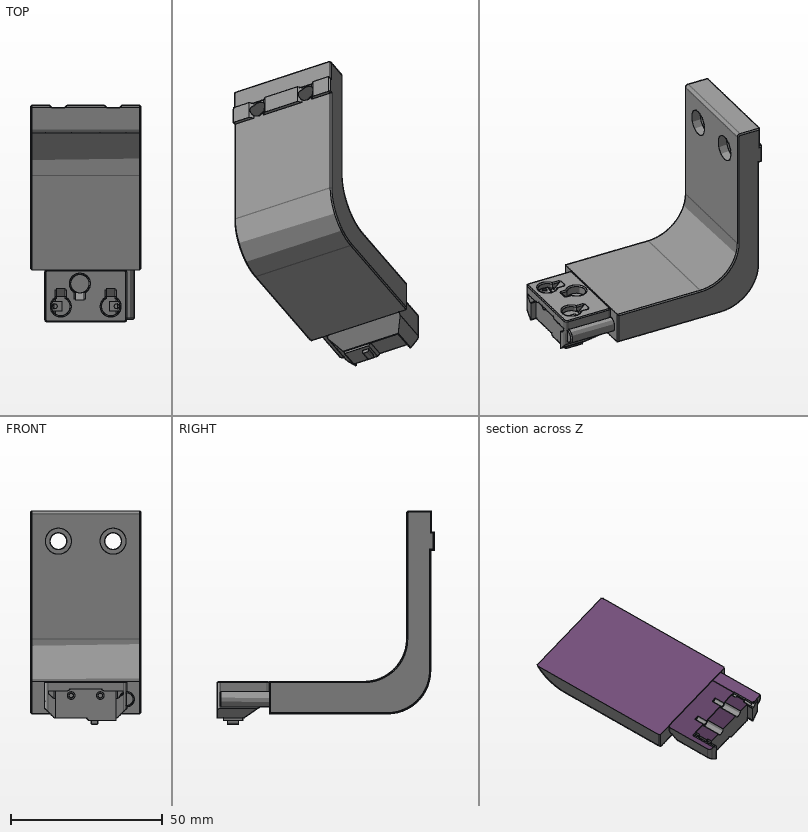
import cadquery as cq
import math


ARM_WIDTH = 36.25
ARM_HEIGHT = 66.9
ARM_FRONT_Y = -54.3
FOOT_THICKNESS = 10.7
PLATE_THICKNESS = 8.0
PLATE_BACK_Y = -1.15
UPPER_BACK_Y = -0.85
INNER_BEND_RADIUS = 14.0
OUTER_BEND_RADIUS = 14.3
ARM_EDGE_CHAMFER = 0.4
TOP_EDGE_FILLET = 1.0

TONGUE_HEIGHT = 6.15
TONGUE_GAP_WIDTH = 5.85
BOLT_SPACING = 18.0
BOLT_Z = 56.9
BOLT_HOLE_DIAMETER = 5.4
BOLT_HEAD_DIAMETER = 8.6
BOLT_HEAD_DEPTH = 3.15

HOUSING_WIDTH = 27.0
HOUSING_FRONT_Y = -71.5
HOUSING_TOP_Z = FOOT_THICKNESS
HOUSING_BOTTOM_Z = -1.35
REAR_SLOPE_TOP_Z = 4.4
REAR_SLOPE_LENGTH = 8.35
LOWER_SIDE_CHAMFER = 3.2
FRONT_CORNER_FILLET = 1.0
REAR_CORNER_FILLET = 0.7
HOUSING_EDGE_CHAMFER = 0.35

MAGNET_DIAMETER = 6.1
MAGNET_DEPTH = 3.0
SIDE_MAGNET_X = 8.2
SIDE_MAGNET_Y = -66.3
MIDDLE_MAGNET_X = -1.9
MIDDLE_MAGNET_Y = -58.8
SIDE_SLOT_REACH = 5.85
MIDDLE_SLOT_REACH = 5.4
MAGNET_POCKETS = [
    (-SIDE_MAGNET_X, SIDE_MAGNET_Y, SIDE_SLOT_REACH),
    (SIDE_MAGNET_X, SIDE_MAGNET_Y, SIDE_SLOT_REACH),
    (MIDDLE_MAGNET_X, MIDDLE_MAGNET_Y, -MIDDLE_SLOT_REACH),
]
PRY_SLOT_WIDTH = 2.85
POCKET_RIM_CHAMFER = 0.4

SWITCH_WIDTH = 20.0
SWITCH_THICKNESS = 6.4
SWITCH_RECESS = 2.0
SWITCH_FRONT_Y = HOUSING_FRONT_Y + SWITCH_RECESS
SWITCH_BACK_Y = SWITCH_FRONT_Y + SWITCH_THICKNESS
SWITCH_MID_Y = (SWITCH_FRONT_Y + SWITCH_BACK_Y) / 2
SWITCH_TOP_Z = 8.2
LIP_BOTTOM_Z = 7.5
LIP_NOTCH_TOP_WIDTH = 10.0
LIP_NOTCH_BOTTOM_WIDTH = 12.15
NOSE_DROP = 0.85
NOSE_START_X = 0.15
SWITCH_HOLE_SPACING = 9.6
SWITCH_HOLE_Z = 6.1
SWITCH_HOLE_DIAMETER = 2.5
SCREW_HOLE_DIAMETER = 1.5
SCREW_HOLE_DEPTH = 3.6

TERMINAL_THICKNESS = 0.5
TERMINAL_WIDTH = 3.2
TERMINAL_INNER_X = 7.85
TERMINAL_OUTER_X = 12.15
TERMINAL_LEG_BOTTOM_Z = 5.1
TERMINAL_HOLE_X = 10.15
TERMINAL_HOLE_DIAMETER = 1.6
TERMINAL_BAY_X = 12.3
TERMINAL_BAY_WALL_Z = 6.7

PLUNGER_X = 2.85
PLUNGER_WIDTH = 2.2
PLUNGER_LENGTH = 3.7
PLUNGER_BOTTOM_Z = -3.4
PLUNGER_EDGE_FILLET = 0.4

PIN_DIAMETER = 5.0
PIN_FRONT_Y = -70.6
PIN_X = HOUSING_WIDTH / 2
PIN_Z = 4.85
PIN_CHAMFER = 0.4


def box(x_range, y_range, z_range):
    """Box between two limits on each axis."""
    size = [high - low for low, high in (x_range, y_range, z_range)]
    corner = (x_range[0], y_range[0], z_range[0])
    return cq.Workplane("XY").box(*size, centered=False).translate(corner)


def cylinder_along_y(x, z, diameter, front_y, back_y):
    circle = cq.Workplane("XZ", origin=(x, front_y, z)).circle(diameter / 2)
    return circle.extrude(front_y - back_y)


def extrude_along_y(points, front_y, back_y):
    """Prism of an XZ outline between two Y limits."""
    outline = cq.Workplane("XZ", origin=(0, front_y, 0)).polyline(points).close()
    return outline.extrude(front_y - back_y)


def make_arm():
    plate_front_y = PLATE_BACK_Y - PLATE_THICKNESS
    tongue_bottom = BOLT_Z - TONGUE_HEIGHT / 2
    tongue_top = BOLT_Z + TONGUE_HEIGHT / 2
    inner_y = plate_front_y - INNER_BEND_RADIUS
    inner_z = FOOT_THICKNESS + INNER_BEND_RADIUS
    diagonal = math.sqrt(0.5)
    inner_mid = (inner_y + INNER_BEND_RADIUS * diagonal, inner_z - INNER_BEND_RADIUS * diagonal)
    outer_y = PLATE_BACK_Y - OUTER_BEND_RADIUS
    outer_mid = (outer_y + OUTER_BEND_RADIUS * diagonal, OUTER_BEND_RADIUS * (1 - diagonal))

    arm = (
        cq.Workplane("YZ", origin=(-ARM_WIDTH / 2, 0, 0))
        .moveTo(ARM_FRONT_Y, 0)
        .lineTo(outer_y, 0)
        .threePointArc(outer_mid, (PLATE_BACK_Y, OUTER_BEND_RADIUS))
        .lineTo(PLATE_BACK_Y, tongue_bottom)
        .lineTo(0, tongue_bottom)
        .lineTo(0, tongue_top)
        .lineTo(UPPER_BACK_Y, tongue_top)
        .lineTo(UPPER_BACK_Y, ARM_HEIGHT)
        .lineTo(plate_front_y, ARM_HEIGHT)
        .lineTo(plate_front_y, inner_z)
        .threePointArc(inner_mid, (inner_y, FOOT_THICKNESS))
        .lineTo(ARM_FRONT_Y, FOOT_THICKNESS)
        .close()
        .extrude(ARM_WIDTH)
    )
    top_front = cq.selectors.NearestToPointSelector((0, plate_front_y, ARM_HEIGHT))
    arm = arm.edges(top_front).fillet(TOP_EDGE_FILLET)
    arm = arm.faces("<X or >X").edges().chamfer(ARM_EDGE_CHAMFER)

    for x in (-BOLT_SPACING / 2, BOLT_SPACING / 2):
        arm = arm.cut(tongue_gap(x, tongue_bottom, tongue_top))
        arm = arm.cut(cylinder_along_y(x, BOLT_Z, BOLT_HOLE_DIAMETER, plate_front_y, 0))
        head_seat_y = plate_front_y + BOLT_HEAD_DEPTH
        arm = arm.cut(cylinder_along_y(x, BOLT_Z, BOLT_HEAD_DIAMETER, plate_front_y, head_seat_y))
    return arm


def tongue_gap(x, bottom_z, top_z):
    """Gap with 45 degree ends that interrupts the tongue at a bolt."""
    half_back = TONGUE_GAP_WIDTH / 2
    half_root = half_back + PLATE_BACK_Y
    return (
        cq.Workplane("XY", origin=(x, 0, bottom_z))
        .polyline([(-half_back, 0), (half_back, 0), (half_root, PLATE_BACK_Y), (-half_root, PLATE_BACK_Y)])
        .close()
        .extrude(top_z - bottom_z)
    )


def housing_block():
    """Outer shape of the probe housing."""
    half_width = HOUSING_WIDTH / 2
    block = (
        cq.Workplane("YZ", origin=(-half_width, 0, 0))
        .moveTo(HOUSING_FRONT_Y, HOUSING_BOTTOM_Z)
        .lineTo(ARM_FRONT_Y - REAR_SLOPE_LENGTH, HOUSING_BOTTOM_Z)
        .lineTo(ARM_FRONT_Y, REAR_SLOPE_TOP_Z)
        .lineTo(ARM_FRONT_Y, HOUSING_TOP_Z)
        .lineTo(HOUSING_FRONT_Y, HOUSING_TOP_Z)
        .close()
        .extrude(HOUSING_WIDTH)
    )
    block = block.faces("<Y").edges("|Z").fillet(FRONT_CORNER_FILLET)
    block = block.faces(">Y").edges("|Z").fillet(REAR_CORNER_FILLET)
    chamfer_top_z = HOUSING_BOTTOM_Z + LOWER_SIDE_CHAMFER
    for side in (-1, 1):
        corner = [
            (side * half_width, HOUSING_BOTTOM_Z),
            (side * half_width, chamfer_top_z),
            (side * (half_width - LOWER_SIDE_CHAMFER), HOUSING_BOTTOM_Z),
        ]
        block = block.cut(extrude_along_y(corner, HOUSING_FRONT_Y, ARM_FRONT_Y))
    return block.faces(">Z").edges().chamfer(HOUSING_EDGE_CHAMFER)


def magnet_pocket(x, y, slot_reach):
    """Round magnet pocket with a pry slot whose floor ramps up to the top face."""
    floor_z = HOUSING_TOP_Z - MAGNET_DEPTH
    bore = cq.Workplane("XY", origin=(x, y, floor_z)).circle(MAGNET_DIAMETER / 2).extrude(MAGNET_DEPTH)
    slot_end = y + slot_reach
    ramp_foot = slot_end - math.copysign(MAGNET_DEPTH, slot_reach)
    slot = (
        cq.Workplane("YZ", origin=(x - PRY_SLOT_WIDTH / 2, 0, 0))
        .polyline([(y, floor_z), (ramp_foot, floor_z), (slot_end, HOUSING_TOP_Z), (y, HOUSING_TOP_Z)])
        .close()
        .extrude(PRY_SLOT_WIDTH)
    )
    return bore.union(slot).union(pocket_rim(x, y, slot_end))


def pocket_rim(x, y, slot_end):
    """Chamfer around the bore and along both long sides of the pry slot.

    The side chamfers stop where the ramp has risen to the depth of the chamfer.
    """
    side_end = slot_end - math.copysign(POCKET_RIM_CHAMFER, slot_end - y)
    rim_z = HOUSING_TOP_Z - POCKET_RIM_CHAMFER
    bore_rim = (
        cq.Workplane("XY", origin=(x, y, HOUSING_TOP_Z))
        .circle(MAGNET_DIAMETER / 2 + POCKET_RIM_CHAMFER)
        .workplane(offset=-POCKET_RIM_CHAMFER)
        .circle(MAGNET_DIAMETER / 2)
        .loft(ruled=True)
    )
    half_slot = PRY_SLOT_WIDTH / 2
    half_rim = half_slot + POCKET_RIM_CHAMFER
    section = [
        (x - half_slot, rim_z),
        (x + half_slot, rim_z),
        (x + half_rim, HOUSING_TOP_Z),
        (x - half_rim, HOUSING_TOP_Z),
    ]
    return bore_rim.union(extrude_along_y(section, *sorted((y, side_end))))


def switch_bay():
    """Front opening for the switch, behind a lip and widened at its top for the terminals."""
    lower_right = [
        (TERMINAL_BAY_X, TERMINAL_BAY_WALL_Z),
        (SWITCH_WIDTH / 2 + TERMINAL_THICKNESS, TERMINAL_LEG_BOTTOM_Z),
        (SWITCH_WIDTH / 2, TERMINAL_LEG_BOTTOM_Z),
        (SWITCH_WIDTH / 2, HOUSING_BOTTOM_Z),
    ]
    lip_right = [
        (LIP_NOTCH_TOP_WIDTH / 2, SWITCH_TOP_Z),
        (LIP_NOTCH_BOTTOM_WIDTH / 2, LIP_BOTTOM_Z),
        (TERMINAL_BAY_X, LIP_BOTTOM_Z),
    ]
    bay_right = [(TERMINAL_BAY_X, SWITCH_TOP_Z + TERMINAL_THICKNESS)]
    opening = extrude_along_y(mirrored(lip_right + lower_right), HOUSING_FRONT_Y, SWITCH_FRONT_Y)
    bay = extrude_along_y(mirrored(bay_right + lower_right), SWITCH_FRONT_Y, SWITCH_BACK_Y)
    return opening.union(bay)


def mirrored(right_points):
    """Close a right-hand XZ outline with its mirror image about X = 0."""
    return right_points + [(-x, z) for x, z in reversed(right_points)]


def make_housing():
    housing = housing_block()
    for x, y, slot_reach in MAGNET_POCKETS:
        housing = housing.cut(magnet_pocket(x, y, slot_reach))
    housing = housing.cut(switch_bay())
    for x in (-SWITCH_HOLE_SPACING / 2, SWITCH_HOLE_SPACING / 2):
        hole_end_y = SWITCH_BACK_Y + SCREW_HOLE_DEPTH
        housing = housing.cut(
            cylinder_along_y(x, SWITCH_HOLE_Z, SCREW_HOLE_DIAMETER, SWITCH_BACK_Y, hole_end_y)
        )
    return housing.cut(make_pin())


def switch_terminal(side):
    """Terminal folded over the switch's upper edge, with a hole in its flat tab."""
    y_range = (SWITCH_MID_Y - TERMINAL_WIDTH / 2, SWITCH_MID_Y + TERMINAL_WIDTH / 2)
    tab_top_z = SWITCH_TOP_Z + TERMINAL_THICKNESS
    tab_ends = sorted((side * TERMINAL_INNER_X, side * TERMINAL_OUTER_X))
    tab = box(tab_ends, y_range, (SWITCH_TOP_Z, tab_top_z))
    leg_inner_x = side * SWITCH_WIDTH / 2
    leg_outer_x = leg_inner_x + side * TERMINAL_THICKNESS
    leg = box(sorted((leg_inner_x, leg_outer_x)), y_range, (TERMINAL_LEG_BOTTOM_Z, tab_top_z))
    hole = (
        cq.Workplane("XY", origin=(side * TERMINAL_HOLE_X, SWITCH_MID_Y, SWITCH_TOP_Z))
        .circle(TERMINAL_HOLE_DIAMETER / 2)
        .extrude(TERMINAL_THICKNESS)
    )
    return tab.union(leg).cut(hole)


def make_switch():
    half_width = SWITCH_WIDTH / 2
    nose_z = HOUSING_BOTTOM_Z - NOSE_DROP
    outline = [
        (-half_width, HOUSING_BOTTOM_Z),
        (NOSE_START_X, HOUSING_BOTTOM_Z),
        (NOSE_START_X + NOSE_DROP, nose_z),
        (half_width, nose_z),
        (half_width, SWITCH_TOP_Z),
        (-half_width, SWITCH_TOP_Z),
    ]
    switch = extrude_along_y(outline, SWITCH_FRONT_Y, SWITCH_BACK_Y)

    for side in (-1, 1):
        switch = switch.union(switch_terminal(side))
        mounting_x = side * SWITCH_HOLE_SPACING / 2
        mounting_hole = cylinder_along_y(
            mounting_x, SWITCH_HOLE_Z, SWITCH_HOLE_DIAMETER, SWITCH_FRONT_Y, SWITCH_BACK_Y
        )
        switch = switch.cut(mounting_hole)

    plunger = box(
        (PLUNGER_X - PLUNGER_WIDTH / 2, PLUNGER_X + PLUNGER_WIDTH / 2),
        (SWITCH_MID_Y - PLUNGER_LENGTH / 2, SWITCH_MID_Y + PLUNGER_LENGTH / 2),
        (PLUNGER_BOTTOM_Z, nose_z),
    )
    plunger = plunger.faces("<Z").edges("|Y").fillet(PLUNGER_EDGE_FILLET)
    return switch.union(plunger)


def make_pin():
    """Pin against the arm's front face, half sunk into the housing's side."""
    pin = cylinder_along_y(PIN_X, PIN_Z, PIN_DIAMETER, PIN_FRONT_Y, ARM_FRONT_Y)
    return pin.faces("<Y").edges().chamfer(PIN_CHAMFER)


arm = make_arm()
housing = make_housing()
switch = make_switch()
pin = make_pin()

bodies = [arm, housing, switch, pin]
result = cq.Compound.makeCompound([body.solids().val() for body in bodies])